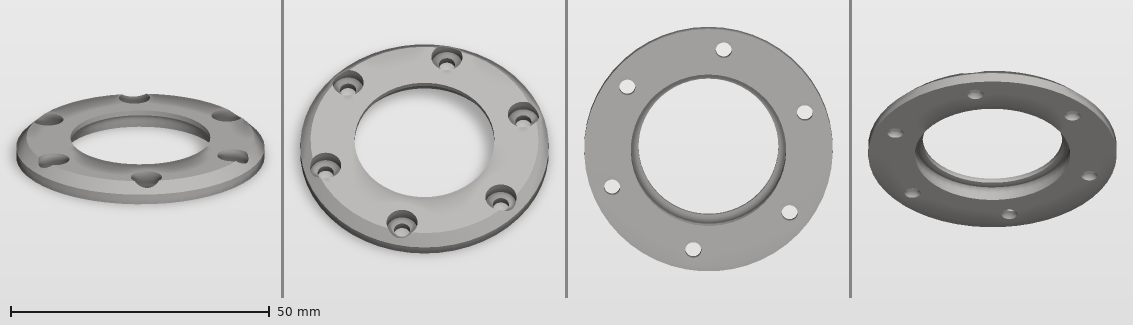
import cadquery as cq

outer_diameter = 48.0
bore_diameter = 27.0
thickness = 4.0
chamfer_size = 2.0

recess_diameter = 30.0
recess_depth = 3.0

screw_count = 6
screw_circle_radius = 20.0
first_screw_angle = 90.0
screw_hole_diameter = 3.1
screw_head_diameter = 6.0
screw_head_depth = 2.5


def make_ring():
    """Flat ring with a chamfered top outer edge, standing on Z = 0."""
    disc = cq.Workplane("XY").circle(outer_diameter / 2).extrude(thickness)
    disc = disc.faces(">Z").edges().chamfer(chamfer_size)
    bore = cq.Workplane("XY").circle(bore_diameter / 2).extrude(thickness)
    return disc.cut(bore)


def cut_bottom_recess(body):
    """Widen the bore from the bottom face, leaving a thin lip at the top."""
    recess = cq.Workplane("XY").circle(recess_diameter / 2).extrude(recess_depth)
    return body.cut(recess)


def cut_screw_holes(body):
    """Evenly spaced through holes, counterbored from the top face."""
    return (
        body.faces(">Z")
        .workplane(origin=(0, 0, thickness))
        .polarArray(screw_circle_radius, first_screw_angle, 360, screw_count)
        .cboreHole(screw_hole_diameter, screw_head_diameter, screw_head_depth)
    )


result = cut_screw_holes(cut_bottom_recess(make_ring()))